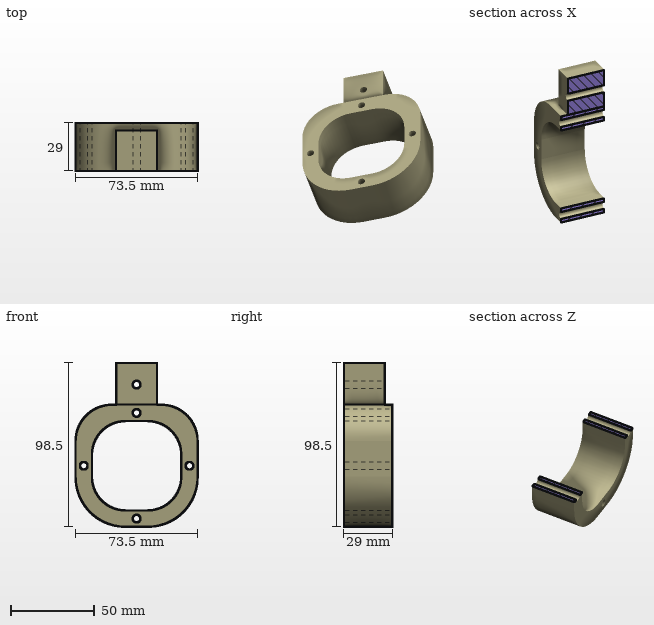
import cadquery as cq

ring_size = 73.5
ring_depth = 29.0
wall = 10.0
upper_corner_radius = 22.0
lower_corner_radius = 30.0
opening_size = ring_size - 2 * wall
opening_corner_radius = 20.0

block_width = 24.5
block_depth = 24.5
block_height = 25.0

hole_diameter = 4.5
hole_offset = (ring_size - wall) / 2
block_hole_height = 12.0

ring_top = ring_size / 2


def square_prism(size, upper_radius, lower_radius):
    """Square prism along Y with separately rounded upper and lower corners."""
    return (
        cq.Workplane("XY")
        .box(size, ring_depth, size, centered=(True, False, True))
        .edges("|Y").edges(">Z").fillet(upper_radius)
        .edges("|Y").edges("<Z").fillet(lower_radius)
    )


def hole_cutters(centres):
    """Cylinders along Y at the given (x, z) centres, long enough to pass through the ring."""
    return (
        cq.Workplane("XZ")
        .pushPoints(centres)
        .circle(hole_diameter / 2)
        .extrude(-ring_depth)
    )


def make_ring():
    outer = square_prism(ring_size, upper_corner_radius, lower_corner_radius)
    opening = square_prism(opening_size, opening_corner_radius, opening_corner_radius)
    wall_centres = [(hole_offset, 0), (0, hole_offset), (-hole_offset, 0), (0, -hole_offset)]
    return outer.cut(opening).cut(hole_cutters(wall_centres))


def make_block():
    block = (
        cq.Workplane("XY", origin=(0, 0, ring_top))
        .rect(block_width, block_depth)
        .extrude(block_height)
        .translate((0, block_depth / 2, 0))
    )
    return block.cut(hole_cutters([(0, ring_top + block_hole_height)]))


ring = make_ring()
block = make_block()

result = cq.Compound.makeCompound([ring.val(), block.val()])